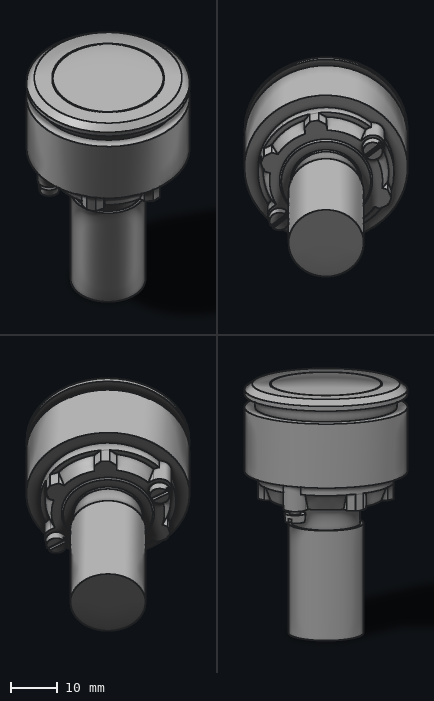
import cadquery as cq
import math

TOTAL_HEIGHT = 54.3
TUBE_TOP = 23.95
COLLAR_BOTTOM = 28.6
SKIRT_BOTTOM = 29.4
FLANGE_BOTTOM = 33.0
DRUM_BOTTOM = 35.3
DRUM_TOP = 49.25
BEZEL_BOTTOM = 52.1
BEZEL_EDGE_TOP = 53.1

HEAD_DIAMETER = 34.8
BEZEL_FACE_DIAMETER = 31.5
NECK_DIAMETER = 30.3
FLANGE_DIAMETER = 29.0
SKIRT_TOP_DIAMETER = 26.7
SKIRT_BOTTOM_DIAMETER = 24.1
COLLAR_DIAMETER = 19.8
STEM_DIAMETER = 14.6
TUBE_DIAMETER = 16.0

COLLAR_CHAMFER = 0.4
STEM_CHAMFER = 0.25
COLLAR_STEP = SKIRT_BOTTOM - COLLAR_CHAMFER

BUTTON_DIAMETER = 23.55
GROOVE_WIDTH = 0.15
GROOVE_DEPTH = 0.3

RIB_ANGLES = (30, 150, 210, 330)
RIB_WIDTH = 4.8
RIB_TIP_WIDTH = 1.95
RIB_SHOULDER_RADIUS = 13.15
RIB_TIP_RADIUS = 14.4

SCREW_ANGLES = (90, 270)
SCREW_CIRCLE_RADIUS = 13.05
BOSS_DIAMETER = 5.0
SHANK_DIAMETER = 2.4
HEAD_TOP_DIAMETER = 4.55
HEAD_BOTTOM_DIAMETER = 4.2
HEAD_TOP = 28.45
HEAD_HEIGHT = 1.75
SLOT_WIDTH = 0.75
SLOT_DEPTH = 0.9
HEAD_BOTTOM = HEAD_TOP - HEAD_HEIGHT


def cylinder(diameter, bottom, top):
    """Upright cylinder on the Z axis between two levels."""
    return cq.Workplane("XY").workplane(offset=bottom).circle(diameter / 2).extrude(top - bottom)


def cone(bottom_diameter, top_diameter, bottom, top):
    """Upright truncated cone on the Z axis between two levels."""
    solid = cq.Solid.makeCone(bottom_diameter / 2, top_diameter / 2, top - bottom)
    return cq.Workplane(solid.translate(cq.Vector(0, 0, bottom)))


def at_screw(shape, angle):
    """Move a shape from the Z axis to the screw position at the given angle."""
    x = SCREW_CIRCLE_RADIUS * math.cos(math.radians(angle))
    y = SCREW_CIRCLE_RADIUS * math.sin(math.radians(angle))
    return shape.translate((x, y, 0))


def make_turned_shape():
    """Tube, stem, collar, skirt, flange, drum, neck and bezel as one revolved profile."""
    stem_radius = STEM_DIAMETER / 2
    collar_radius = COLLAR_DIAMETER / 2
    head_radius = HEAD_DIAMETER / 2
    profile = [
        (0, 0),
        (TUBE_DIAMETER / 2, 0),
        (TUBE_DIAMETER / 2, TUBE_TOP),
        (stem_radius, TUBE_TOP),
        (stem_radius, COLLAR_BOTTOM),
        (stem_radius + STEM_CHAMFER, COLLAR_STEP),
        (collar_radius - COLLAR_CHAMFER, COLLAR_STEP),
        (collar_radius, SKIRT_BOTTOM),
        (SKIRT_BOTTOM_DIAMETER / 2, SKIRT_BOTTOM),
        (SKIRT_TOP_DIAMETER / 2, FLANGE_BOTTOM),
        (FLANGE_DIAMETER / 2, FLANGE_BOTTOM),
        (FLANGE_DIAMETER / 2, DRUM_BOTTOM),
        (head_radius, DRUM_BOTTOM),
        (head_radius, DRUM_TOP),
        (NECK_DIAMETER / 2, DRUM_TOP),
        (NECK_DIAMETER / 2, BEZEL_BOTTOM),
        (head_radius, BEZEL_BOTTOM),
        (head_radius, BEZEL_EDGE_TOP),
        (BEZEL_FACE_DIAMETER / 2, TOTAL_HEIGHT),
        (0, TOTAL_HEIGHT),
    ]
    return cq.Workplane("XZ").polyline(profile).close().revolve(360, (0, 0), (0, 1))


def make_rib(angle):
    """Rib with bevelled outer corners, its tip flush with the flange."""
    outline = [
        (0, -RIB_WIDTH / 2),
        (RIB_SHOULDER_RADIUS, -RIB_WIDTH / 2),
        (RIB_TIP_RADIUS, -RIB_TIP_WIDTH / 2),
        (FLANGE_DIAMETER / 2, -RIB_TIP_WIDTH / 2),
        (FLANGE_DIAMETER / 2, RIB_TIP_WIDTH / 2),
        (RIB_TIP_RADIUS, RIB_TIP_WIDTH / 2),
        (RIB_SHOULDER_RADIUS, RIB_WIDTH / 2),
        (0, RIB_WIDTH / 2),
    ]
    height = FLANGE_BOTTOM - SKIRT_BOTTOM
    rib = cq.Workplane("XY").workplane(offset=SKIRT_BOTTOM).polyline(outline).close().extrude(height)
    rib = rib.intersect(cylinder(FLANGE_DIAMETER, SKIRT_BOTTOM, FLANGE_BOTTOM))
    return rib.rotate((0, 0, 0), (0, 0, 1), angle)


def make_boss(angle):
    """Screw boss, rounded outside and joined to the skirt by two flat sides."""
    height = DRUM_BOTTOM - SKIRT_BOTTOM
    web = (
        cq.Workplane("XY")
        .workplane(offset=SKIRT_BOTTOM)
        .center(SCREW_CIRCLE_RADIUS / 2, 0)
        .rect(SCREW_CIRCLE_RADIUS, BOSS_DIAMETER)
        .extrude(height)
        .rotate((0, 0, 0), (0, 0, 1), angle)
    )
    return web.union(at_screw(cylinder(BOSS_DIAMETER, SKIRT_BOTTOM, DRUM_BOTTOM), angle))


def make_button_groove():
    """Narrow ring that outlines the button in the bezel face."""
    groove_bottom = TOTAL_HEIGHT - GROOVE_DEPTH
    outer = cylinder(BUTTON_DIAMETER + 2 * GROOVE_WIDTH, groove_bottom, TOTAL_HEIGHT)
    return outer.cut(cylinder(BUTTON_DIAMETER, groove_bottom, TOTAL_HEIGHT))


def make_housing():
    """Turned shape with ribs and bosses, the button groove and the screw holes."""
    housing = make_turned_shape()
    for angle in RIB_ANGLES:
        housing = housing.union(make_rib(angle))
    for angle in SCREW_ANGLES:
        housing = housing.union(make_boss(angle))
    for angle in SCREW_ANGLES:
        housing = housing.cut(at_screw(cylinder(SHANK_DIAMETER, SKIRT_BOTTOM, DRUM_BOTTOM), angle))
    return housing.cut(make_button_groove())


def make_screw(angle):
    """Screw with a tapered head, slotted from below along Y, its shank filling the boss hole."""
    head = cone(HEAD_BOTTOM_DIAMETER, HEAD_TOP_DIAMETER, HEAD_BOTTOM, HEAD_TOP)
    slot = (
        cq.Workplane("XY")
        .workplane(offset=HEAD_BOTTOM)
        .rect(SLOT_WIDTH, HEAD_TOP_DIAMETER)
        .extrude(SLOT_DEPTH)
    )
    screw = head.cut(slot).union(cylinder(SHANK_DIAMETER, HEAD_TOP, DRUM_BOTTOM))
    return at_screw(screw, angle)


housing = make_housing()
screws = [make_screw(angle) for angle in SCREW_ANGLES]

result = cq.Compound.makeCompound([housing.val(), *[screw.val() for screw in screws]])